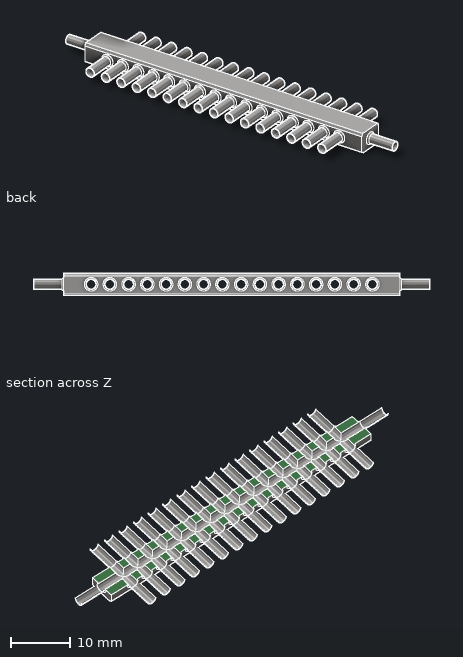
import cadquery as cq
import math

overall_length = 67.06
overall_width = 15.39
body_length = 56.9
body_width = 5.08
body_height = 3.81
chamfer_long_leg = 0.508
chamfer_angle = 30
chamfer_short_leg = chamfer_long_leg * math.tan(math.radians(chamfer_angle))

tube_diameter = 1.78
bore_diameter = 1.6
flare_width = 0.254
flare_length = 0.33

tube_pitch = 3.175
tubes_per_side = 16

first_tube_x = -tube_pitch * (tubes_per_side - 1) / 2
side_tube_positions = [first_tube_x + i * tube_pitch for i in range(tubes_per_side)]

end_tube_length = (overall_length - body_length) / 2
side_tube_length = (overall_width - body_width) / 2


def manifold_body():
    """Long bar, chamfered steeply along its top edges and shallowly along its bottom edges."""
    half_width = body_width / 2
    half_height = body_height / 2
    right_side = [
        (half_width - chamfer_long_leg, -half_height),
        (half_width, -half_height + chamfer_short_leg),
        (half_width, half_height - chamfer_long_leg),
        (half_width - chamfer_short_leg, half_height),
    ]
    left_side = [(-y, z) for y, z in reversed(right_side)]
    section = cq.Workplane("YZ").polyline(right_side + left_side).close()
    return section.extrude(body_length / 2, both=True)


def flared_tube(root, direction, length):
    """Solid tube standing on a body face, widened by a short cone at its root."""
    tube_radius = tube_diameter / 2
    profile = (
        cq.Workplane("XZ")
        .lineTo(tube_radius + flare_width, 0)
        .lineTo(tube_radius, flare_length)
        .lineTo(tube_radius, length)
        .lineTo(0, length)
        .close()
    )
    tube = profile.revolve(360, (0, 0, 0), (0, 1, 0)).val()
    return tube.moved(cq.Plane(origin=root, normal=direction).location)


def bore(start, direction, length):
    """Straight round passage."""
    return cq.Solid.makeCylinder(bore_diameter / 2, length, cq.Vector(*start), cq.Vector(*direction))


part = manifold_body()

for side in (-1, 1):
    part = part.union(flared_tube((side * body_length / 2, 0, 0), (side, 0, 0), end_tube_length))
    for x in side_tube_positions:
        part = part.union(flared_tube((x, side * body_width / 2, 0), (0, side, 0), side_tube_length))

part = part.cut(bore((-overall_length / 2, 0, 0), (1, 0, 0), overall_length))
for x in side_tube_positions:
    part = part.cut(bore((x, -overall_width / 2, 0), (0, 1, 0), overall_width))

result = part.solids()